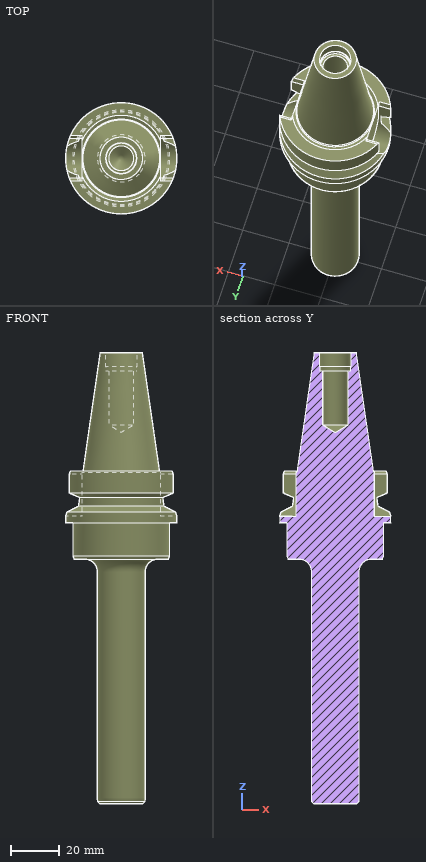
import cadquery as cq
import math

total_length = 186.4

taper_length = 48.8
taper_top_diameter = 17.5
taper_base_diameter = 31.7

relief_diameter = 32.5
relief_outer_diameter = 35.6
relief_depth = 0.5

flange_diameter = 46.0
groove_diameter = 38.2
upper_rim_depth = 9.1
groove_top_depth = 11.0
groove_bottom_depth = 14.5
lower_rim_depth = 17.0
flange_depth = 21.5

collar_diameter = 40.0
collar_depth = 36.5
collar_chamfer_height = 1.3
collar_chamfer_width = 0.5

shank_diameter = 20.0
neck_radius = 5.0
shank_lead_height = 2.0
shank_lead_width = 0.2
shank_chamfer = 1.0

slot_width = 16.2
slot_depth = 18.6
slot_floor_offset = 16.2
slot_chamfer = 1.3

bore_mouth_diameter = 12.9
bore_diameter = 12.5
bore_mouth_depth = 5.5
bore_depth = 7.5
pilot_diameter = 10.3
pilot_depth = 29.8
drill_point_angle = 118.0

flange_face = total_length - taper_length
collar_bottom = flange_face - collar_depth


def make_body():
    """Revolve the outer half profile around Z."""
    shank_r = shank_diameter / 2
    lead_r = shank_r - shank_lead_width
    collar_r = collar_diameter / 2
    flange_r = flange_diameter / 2
    groove_r = groove_diameter / 2
    neck_mid = neck_radius * (1 - math.sqrt(0.5))
    return (
        cq.Workplane("XZ")
        .lineTo(lead_r - shank_chamfer, 0)
        .lineTo(lead_r, shank_chamfer)
        .lineTo(shank_r, shank_lead_height)
        .lineTo(shank_r, collar_bottom - neck_radius)
        .threePointArc(
            (shank_r + neck_mid, collar_bottom - neck_mid),
            (shank_r + neck_radius, collar_bottom),
        )
        .lineTo(collar_r - collar_chamfer_width, collar_bottom)
        .lineTo(collar_r, collar_bottom + collar_chamfer_height)
        .lineTo(collar_r, flange_face - flange_depth)
        .lineTo(flange_r, flange_face - flange_depth)
        .lineTo(flange_r, flange_face - lower_rim_depth)
        .lineTo(groove_r, flange_face - groove_bottom_depth)
        .lineTo(groove_r, flange_face - groove_top_depth)
        .lineTo(flange_r, flange_face - upper_rim_depth)
        .lineTo(flange_r, flange_face)
        .lineTo(relief_outer_diameter / 2, flange_face)
        .lineTo(relief_diameter / 2, flange_face - relief_depth)
        .lineTo(taper_base_diameter / 2, flange_face)
        .lineTo(taper_top_diameter / 2, total_length)
        .lineTo(0, total_length)
        .close()
        .revolve(360, (0, 0, 0), (0, 1, 0))
    )


def make_slot(side):
    """Round-ended drive slot on the +X (side=1) or -X (side=-1) flank."""
    half = slot_width / 2
    arc_centre = flange_face - slot_depth + half
    profile = (
        cq.Workplane("YZ", origin=(side * slot_floor_offset, 0, 0))
        .moveTo(-half - slot_chamfer, flange_face)
        .lineTo(-half, flange_face - slot_chamfer)
        .lineTo(-half, arc_centre)
        .threePointArc((0, flange_face - slot_depth), (half, arc_centre))
        .lineTo(half, flange_face - slot_chamfer)
        .lineTo(half + slot_chamfer, flange_face)
        .close()
    )
    return profile.extrude(side * flange_diameter / 2)


def make_bore():
    """Bore stepping down twice to a pilot hole with a drill point."""
    pilot_r = pilot_diameter / 2
    mouth_r = bore_mouth_diameter / 2
    bore_r = bore_diameter / 2
    point_height = pilot_r / math.tan(math.radians(drill_point_angle / 2))
    return (
        cq.Workplane("XZ")
        .moveTo(0, total_length - pilot_depth - point_height)
        .lineTo(pilot_r, total_length - pilot_depth)
        .lineTo(pilot_r, total_length - bore_depth)
        .lineTo(bore_r, total_length - bore_depth)
        .lineTo(bore_r, total_length - bore_mouth_depth)
        .lineTo(mouth_r, total_length - bore_mouth_depth)
        .lineTo(mouth_r, total_length)
        .lineTo(0, total_length)
        .close()
        .revolve(360, (0, 0, 0), (0, 1, 0))
    )


result = make_body().cut(make_bore())
for flank in (-1, 1):
    result = result.cut(make_slot(flank))